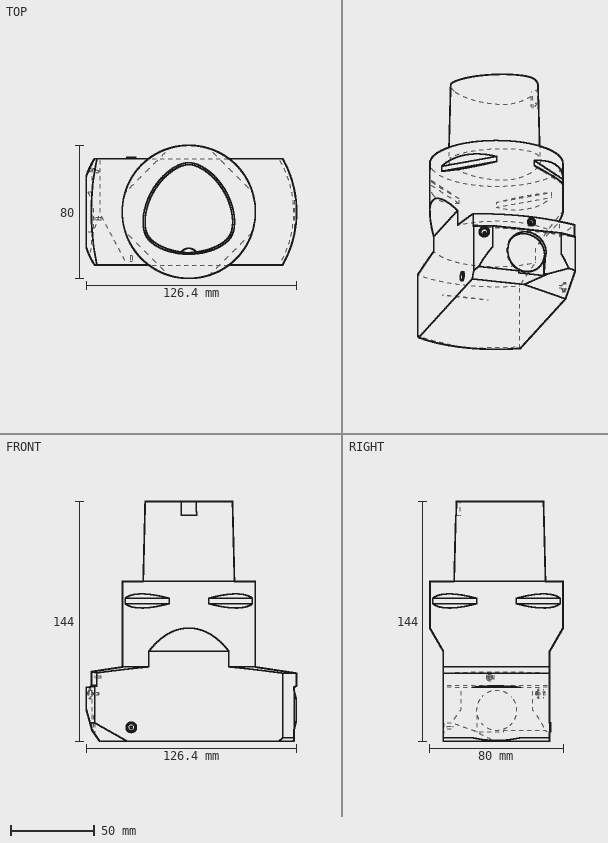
import cadquery as cq
import math

total_height = 144.0
flange_radius = 40.0
flange_top = 96.0
side_flat = 32.0
head_radius = 64.8

shank_width = 55.0
shank_lobe = 2.0
shank_taper = 1 / 20
lobe_half_angle = 33.0
key_radius = 5.8
key_center_y = -27.6
key_depth = 8.2

groove_floor_radius = 35.4
groove_z = 84.2
groove_floor_height = 3.2
groove_slope = math.tan(math.radians(30))

shoulder_z = 54.0
shoulder_slope = math.tan(math.radians(60))

roof_z = 44.6
roof_rim_z = 40.9
bottom_chamfer = 2.0

ledge_z = 33.0
ledge_rim_z = 32.4
ledge_fillet = 0.9
upper_face_x = -58.6
upper_corner_x = -55.2
nose_x = -61.6
nose_half_width = 21.5
nose_corner_x = -56.6
nose_radius = 65.2
nose_taper_z = 19.2
nose_break_x = -58.2
nose_break_z = 6.6
nose_foot_x = -53.5

bevel_corner_x = -37.0
bevel_corner_z = 11.1
bevel_foot_y = -0.7

seat_diameter = 24.0
seat_z = 18.7
seat_floor_x = -58.3
relief_floor_x = -57.5
relief_bottom_z = 5.5
relief_y_max = 4.0
relief_y_min = -11.8

flat_x = 63.2
flat_top_z = 32.4
flat_ramp_slope = math.tan(math.radians(30))
cap_height = 1.3
cap_top_diameter = 13.5

nozzle_bore = 1.5
nozzle_rim = 0.9
nozzle_seat_depth = 0.5
nozzle_cone_depth = 1.7
nozzle_bore_depth = 3.6
side_nozzle_x = -34.5
side_nozzle_z = 8.4
side_nozzle_diameter = 6.2
face_nozzle_y = -3.9
face_nozzle_z = 38.7
face_nozzle_diameter = 4.8
corner_nozzle_y = 26.4
corner_nozzle_z = 28.7
corner_nozzle_diameter = 6.0

pin_diameter = 5.5
pin_height = 0.7

margin = 14.4
clearance = 1.5


def lobed_point(width, normal_angle):
    """Point of the three-lobed curve where the outward normal has the given angle in degrees."""
    turn = math.radians(normal_angle)
    phase = 3 * (turn - math.pi / 2)
    support = width / 2 + shank_lobe * math.cos(phase)
    slope = -3 * shank_lobe * math.sin(phase)
    x = support * math.cos(turn) - slope * math.sin(turn)
    y = support * math.sin(turn) + slope * math.cos(turn)
    return x, y


def lobed_wire(width, z):
    """Closed section of three tight lobes and three flatter sides, one spline each."""
    steps = 6
    edges = []
    for lobe in range(3):
        lobe_center = 90 + 120 * lobe
        lobe_start = lobe_center - lobe_half_angle
        lobe_end = lobe_center + lobe_half_angle
        next_start = lobe_start + 120
        for start, end in ((lobe_start, lobe_end), (lobe_end, next_start)):
            angles = [start + (end - start) * i / steps for i in range(steps + 1)]
            points = [cq.Vector(*lobed_point(width, angle), z) for angle in angles]
            edges.append(cq.Edge.makeSpline(points))
    return cq.Wire.assembleEdges(edges)


def make_shank():
    height = total_height - flange_top
    bottom = lobed_wire(shank_width, flange_top)
    top = lobed_wire(shank_width - shank_taper * height, total_height)
    shank = cq.Workplane(obj=cq.Solid.makeLoft([bottom, top], True))
    key = (
        cq.Workplane("XY", origin=(0, key_center_y, total_height - key_depth))
        .circle(key_radius)
        .extrude(key_depth)
    )
    return shank.cut(key)


def make_flange():
    flange = cq.Workplane("XY").circle(flange_radius).extrude(flange_top)

    half_floor = groove_floor_height / 2
    reach = flange_radius + clearance
    half_mouth = half_floor + (reach - groove_floor_radius) * groove_slope
    groove = (
        cq.Workplane("XZ")
        .polyline([
            (groove_floor_radius, groove_z - half_floor),
            (reach, groove_z - half_mouth),
            (reach, groove_z + half_mouth),
            (groove_floor_radius, groove_z + half_floor),
        ])
        .close()
        .extrude(flange_radius, both=True)
    )
    for angle in (45, 135, 225, 315):
        flange = flange.cut(groove.rotate((0, 0, 0), (0, 0, 1), angle))

    shoulder_reach = flange_radius - side_flat + clearance
    shoulder_top = shoulder_z + shoulder_reach * shoulder_slope
    outer = side_flat + shoulder_reach
    envelope = (
        cq.Workplane("YZ")
        .polyline([
            (-side_flat, 0),
            (side_flat, 0),
            (side_flat, shoulder_z),
            (outer, shoulder_top),
            (outer, flange_top),
            (-outer, flange_top),
            (-outer, shoulder_top),
            (-side_flat, shoulder_z),
        ])
        .close()
        .extrude(flange_radius + clearance, both=True)
    )
    return flange.intersect(envelope)


def make_block():
    head = (
        cq.Workplane("XZ")
        .polyline([
            (0, 0),
            (head_radius - bottom_chamfer, 0),
            (head_radius, bottom_chamfer),
            (head_radius, roof_rim_z),
            (flange_radius, roof_z),
            (0, roof_z),
        ])
        .close()
        .revolve(360, (0, 0), (0, 1))
    )
    slab = cq.Workplane("XY").rect(2 * head_radius, 2 * side_flat).extrude(roof_z)
    head = head.intersect(slab)

    upper_outline = (
        cq.Workplane("XY", origin=(0, 0, nose_taper_z))
        .moveTo(head_radius, -side_flat)
        .lineTo(upper_corner_x, -side_flat)
        .threePointArc((upper_face_x, 0), (upper_corner_x, side_flat))
        .lineTo(head_radius, side_flat)
        .close()
        .extrude(roof_z - nose_taper_z)
    )
    lower_right = (
        cq.Workplane("XY")
        .box(head_radius, 2 * side_flat, ledge_z, centered=(False, True, False))
    )
    block = head.intersect(upper_outline.union(lower_right))
    block = block.union(make_nose())
    ledge_root = cq.selectors.NearestToPointSelector((upper_face_x, 0, ledge_z))
    return block.edges(ledge_root).fillet(ledge_fillet)


def make_nose():
    """Protruding lower -X end, tapered underneath."""
    cheek_y = (nose_half_width + side_flat) / 2
    cheek_x = -math.sqrt(nose_radius ** 2 - cheek_y ** 2)
    outline = (
        cq.Workplane("XY")
        .moveTo(0, -side_flat)
        .lineTo(nose_corner_x, -side_flat)
        .threePointArc((cheek_x, -cheek_y), (nose_x, -nose_half_width))
        .lineTo(nose_x, nose_half_width)
        .threePointArc((cheek_x, cheek_y), (nose_corner_x, side_flat))
        .lineTo(0, side_flat)
        .close()
        .extrude(ledge_z)
    )
    profile = (
        cq.Workplane("XZ")
        .polyline([
            (0, 0),
            (nose_foot_x, 0),
            (nose_break_x, nose_break_z),
            (nose_x, nose_taper_z),
            (nose_x, ledge_rim_z),
            (upper_corner_x, ledge_z),
            (0, ledge_z),
        ])
        .close()
        .extrude(side_flat, both=True)
    )
    return outline.intersect(profile)


def corner_bevel():
    """Body below the plane that bevels the bottom of the -X, -Y corner."""
    toe = cq.Vector(bevel_corner_x, -side_flat, 0)
    crest = cq.Vector(nose_corner_x, -side_flat, bevel_corner_z)
    heel = cq.Vector(nose_foot_x, bevel_foot_y, 0)
    downward = (crest - toe).cross(heel - toe)
    plane = cq.Plane(origin=toe.toTuple(), normal=downward.toTuple())
    size = 2 * head_radius
    return cq.Workplane(plane).rect(size, size).extrude(margin)


def seat_pocket():
    """Round recess in the nose, with a slightly deeper squared relief below it."""
    disc = (
        cq.Workplane("YZ", origin=(seat_floor_x, 0, seat_z))
        .circle(seat_diameter / 2)
        .extrude(-margin)
    )
    core = (
        cq.Workplane("YZ", origin=(relief_floor_x, 0, seat_z))
        .circle(seat_diameter / 2)
        .extrude(-margin)
    )
    relief = cq.Workplane("XY").box(
        margin,
        relief_y_max - relief_y_min,
        seat_z - relief_bottom_z,
        centered=False,
    )
    relief = relief.translate((relief_floor_x - margin, relief_y_min, relief_bottom_z))
    return relief.cut(core).union(disc)


def flat_cut():
    """Cutting body of the milled flat, ramping out to the full head radius above it."""
    rise = margin * flat_ramp_slope
    return (
        cq.Workplane("XZ")
        .polyline([
            (flat_x, 0),
            (flat_x + margin, 0),
            (flat_x + margin, flat_top_z + rise),
            (flat_x, flat_top_z),
        ])
        .close()
        .extrude(side_flat, both=True)
    )


def sloped_cap():
    """Low cap with sloping sides on the milled flat."""
    return (
        cq.Workplane("YZ", origin=(flat_x, 0, seat_z))
        .circle(seat_diameter / 2)
        .workplane(offset=cap_height)
        .circle(cap_top_diameter / 2)
        .loft(ruled=True)
    )


def nozzle(origin, outward, diameter):
    """Cutting body of a nozzle sunk against the outward direction."""
    cone_radius = diameter / 2 - nozzle_rim
    cone_end = nozzle_seat_depth + nozzle_cone_depth
    profile = [
        (0, clearance),
        (diameter / 2, clearance),
        (diameter / 2, -nozzle_seat_depth),
        (cone_radius, -nozzle_seat_depth),
        (nozzle_bore / 2, -cone_end),
        (nozzle_bore / 2, -cone_end - nozzle_bore_depth),
        (0, -cone_end - nozzle_bore_depth),
    ]
    body = cq.Workplane("XZ").polyline(profile).close().revolve(360, (0, 0), (0, 1))
    plane = cq.Plane(origin=origin, normal=outward)
    return cq.Workplane(obj=body.val().moved(cq.Location(plane)))


def side_pin():
    return (
        cq.Workplane("XZ", origin=(side_nozzle_x, side_flat, side_nozzle_z))
        .circle(pin_diameter / 2)
        .extrude(-pin_height)
    )


corner_nozzle_x = -math.sqrt(nose_radius ** 2 - corner_nozzle_y ** 2)
nozzles = [
    ((side_nozzle_x, -side_flat, side_nozzle_z), (0, -1, 0), side_nozzle_diameter),
    ((upper_face_x, face_nozzle_y, face_nozzle_z), (-1, 0, 0), face_nozzle_diameter),
    (
        (corner_nozzle_x, corner_nozzle_y, corner_nozzle_z),
        (corner_nozzle_x, corner_nozzle_y, 0),
        corner_nozzle_diameter,
    ),
]

result = make_block().union(make_flange()).union(make_shank())
result = result.cut(corner_bevel()).cut(seat_pocket())
result = result.cut(flat_cut()).union(sloped_cap()).union(side_pin())
for origin, outward, diameter in nozzles:
    result = result.cut(nozzle(origin, outward, diameter))